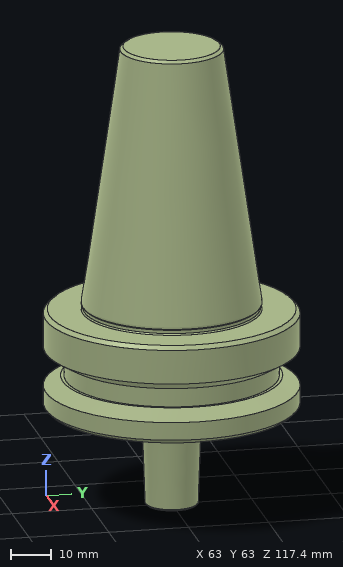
import cadquery as cq
import math

taper_length = 65.4
flange_top = -2.0
flange_bottom = -27.0
nose_length = 25.0
nose_bottom = flange_bottom - nose_length

gauge_radius = 22.2
taper_ratio = 7 / 24
small_radius = gauge_radius - taper_length * taper_ratio / 2
shank_chamfer = 0.7

gauge_band = 0.5
neck_radius = 21.8
neck_chamfer = 0.4

flange_diameter = 63.0
flange_radius = flange_diameter / 2
flange_chamfer = 1.0
groove_center = -16.5
groove_floor_width = 4.9
groove_floor_radius = 26.4
groove_mouth_radius = 27.2
groove_wall_angle = 30

nose_root_radius = 7.3
nose_tip_radius = 6.6
nose_fillet = 4.7
nose_tip_chamfer = 0.5


def make_shank():
    """Taper shank, gauge band and relief neck, flared where the neck meets the flange."""
    chamfer_z = taper_length - shank_chamfer
    chamfer_radius = small_radius + shank_chamfer * taper_ratio / 2
    neck_top = -gauge_band - (gauge_radius - neck_radius)
    return (
        cq.Workplane("XZ")
        .moveTo(0, taper_length)
        .lineTo(small_radius - shank_chamfer, taper_length)
        .lineTo(chamfer_radius, chamfer_z)
        .lineTo(gauge_radius, 0)
        .lineTo(gauge_radius, -gauge_band)
        .lineTo(neck_radius, neck_top)
        .lineTo(neck_radius, flange_top + neck_chamfer)
        .lineTo(neck_radius + neck_chamfer, flange_top)
        .lineTo(0, flange_top)
        .close()
        .revolve(360, (0, 0), (0, 1))
    )


def make_flange():
    """Chamfered flange with a sloping-walled groove around its rim."""
    wall_slope = math.tan(math.radians(groove_wall_angle))
    floor_top = groove_center + groove_floor_width / 2
    floor_bottom = groove_center - groove_floor_width / 2
    wall_height = (flange_radius - groove_mouth_radius) * wall_slope
    return (
        cq.Workplane("XZ")
        .moveTo(0, flange_top)
        .lineTo(flange_radius - flange_chamfer, flange_top)
        .lineTo(flange_radius, flange_top - flange_chamfer)
        .lineTo(flange_radius, floor_top + wall_height)
        .lineTo(groove_mouth_radius, floor_top)
        .lineTo(groove_floor_radius, floor_top)
        .lineTo(groove_floor_radius, floor_bottom)
        .lineTo(groove_mouth_radius, floor_bottom)
        .lineTo(flange_radius, floor_bottom - wall_height)
        .lineTo(flange_radius, flange_bottom + flange_chamfer)
        .lineTo(flange_radius - flange_chamfer, flange_bottom)
        .lineTo(0, flange_bottom)
        .close()
        .revolve(360, (0, 0), (0, 1))
    )


def make_nose():
    """Slim tapered nose with a concave root fillet and a chamfered tip."""
    root_z = flange_bottom - nose_fillet
    fillet_inset = nose_fillet * (1 - math.sqrt(0.5))
    return (
        cq.Workplane("XZ")
        .moveTo(0, flange_bottom)
        .lineTo(nose_root_radius + nose_fillet, flange_bottom)
        .threePointArc(
            (nose_root_radius + fillet_inset, flange_bottom - fillet_inset),
            (nose_root_radius, root_z),
        )
        .lineTo(nose_tip_radius, nose_bottom + nose_tip_chamfer)
        .lineTo(nose_tip_radius - nose_tip_chamfer, nose_bottom)
        .lineTo(0, nose_bottom)
        .close()
        .revolve(360, (0, 0), (0, 1))
    )


result = make_shank().union(make_flange()).union(make_nose())